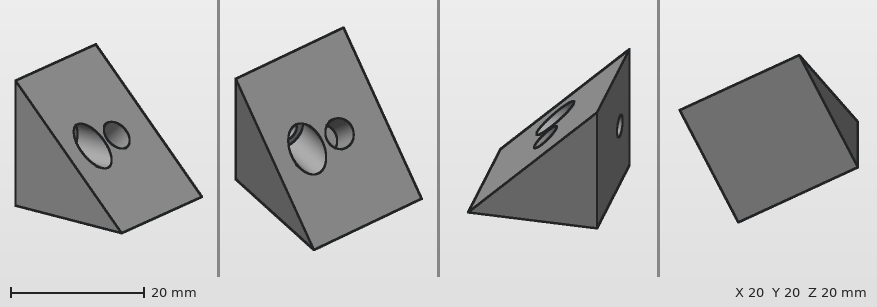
import cadquery as cq

leg = 20.0
width = 20.0
slope_middle = leg / 2

screw_y = 6.0
screw_diameter = 3.4
head_diameter = 5.7
seat_thickness = 5.0

blind_y = 12.0
blind_diameter = 4.7
blind_depth = 6.0


def wedge():
    profile = [(0, 0), (leg, 0), (0, leg)]
    return cq.Workplane("XZ").polyline(profile).close().extrude(-width)


def cylinder_on_screw_axis(diameter, start_x):
    """Cylinder along X, from start_x to the far end of the wedge."""
    plane = cq.Workplane("YZ", origin=(start_x, screw_y, slope_middle))
    return plane.circle(diameter / 2).extrude(leg - start_x)


def blind_hole():
    mouth = (slope_middle, blind_y, slope_middle)
    slope_plane = cq.Plane(origin=mouth, xDir=(0, 1, 0), normal=(1, 0, 1))
    return cq.Workplane(slope_plane).circle(blind_diameter / 2).extrude(-blind_depth)


screw_hole = cylinder_on_screw_axis(screw_diameter, 0)
counterbore = cylinder_on_screw_axis(head_diameter, seat_thickness)

result = wedge().cut(screw_hole).cut(counterbore).cut(blind_hole())